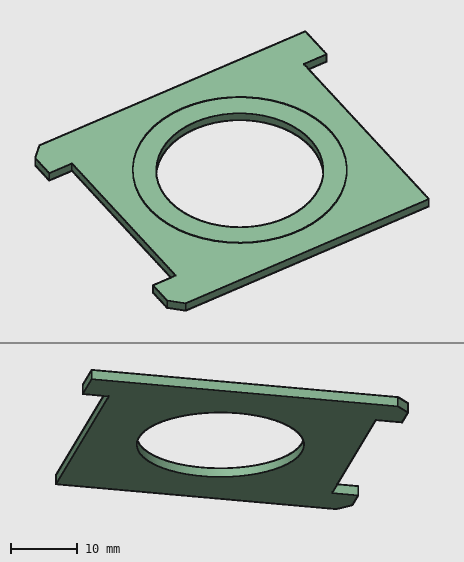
import cadquery as cq

width = 41.0
length = 49.0
thickness = 1.5

tab_width = 6.0
tab_length = 4.0
corner_chamfer = 2.0

hole_diameter = 25.0
seat_diameter = 32.0
seat_depth = 0.1

right = width / 2
left = -right
back = length / 2
front = -back
body_back = back - tab_length
body_front = front + tab_length


def make_plate():
    """Square body with one back tab and two chamfered front tabs."""
    outline = [
        (left, back),
        (left + tab_width, back),
        (left + tab_width, body_back),
        (right, body_back),
        (right, front + corner_chamfer),
        (right - corner_chamfer, front),
        (right - tab_width, front),
        (right - tab_width, body_front),
        (left + tab_width, body_front),
        (left + tab_width, front),
        (left + corner_chamfer, front),
        (left, front + corner_chamfer),
    ]
    return cq.Workplane("XY").polyline(outline).close().extrude(thickness)


def cut_stepped_opening(plate):
    """Through hole with a shallow circular seat in the top face."""
    return plate.faces(">Z").workplane(origin=(0, 0, thickness)).cboreHole(
        hole_diameter, seat_diameter, seat_depth
    )


result = cut_stepped_opening(make_plate())